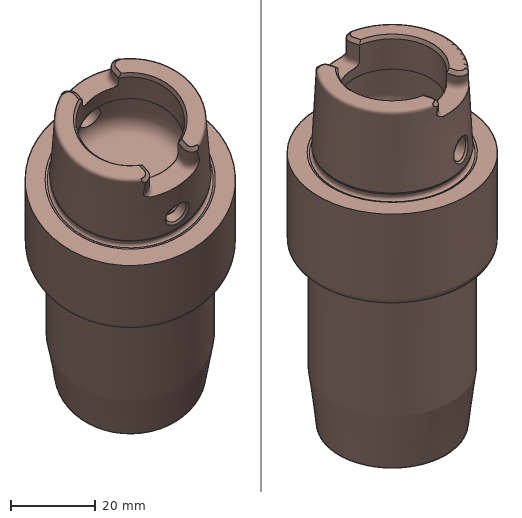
import cadquery as cq
import math

total_height = 104.9
shank_length = 25.0
flange_face_z = total_height - shank_length

nose_end_radius = 18.0
nose_height = 16.9
nose_edge_round = 0.6
body_radius = 20.0

flange_radius = 50.0 / 2
flange_side_length = 26.4
flange_cone_angle = math.radians(22)
flange_round = 2.2
neck_round = 0.7

shank_top_radius = 18.0
shank_base_radius = 19.2
rim_round = 0.9

relief_length = 2.0
relief_slope_height = 0.6
relief_radius = 18.9
relief_round = 0.8
relief_outer_radius = 20.2
relief_depth = 0.2

bore_radius = 12.9
bore_mouth_radius = 13.5
bore_mouth_depth = 0.9
bore_depth = 9.9
chamber_radius = 16.0
chamber_depth = 23.8
chamber_floor_round = 4.2

centre_radius = 2.1
centre_half_angle = math.radians(59)

slot_half_width = 5.3
slot_flare_x = 14.0
slot_flare_radius = 2.4
slot_flare_end = math.radians(20)
slot_floor_round = 1.6
slot_edge_chamfer = 0.9
shallow_slot_depth = 4.5
deep_slot_depth = 7.0

cross_hole_radius = 3.0
cross_hole_chamfer = 0.5
cross_hole_z = 87.3


def ring_at(z):
    """Selector for the circular edge whose centre lies on the axis at height z."""
    reach = 0.01
    return cq.selectors.BoxSelector((-reach, -reach, z - reach), (reach, reach, z + reach))


def make_outer_body():
    """Revolved nose, body, flange, relief groove and tapered shank."""
    cone_top_z = flange_face_z - flange_side_length
    neck_z = cone_top_z - (flange_radius - body_radius) * math.tan(flange_cone_angle)
    relief_top_z = flange_face_z + relief_length
    relief_floor_z = flange_face_z - relief_depth

    profile = (
        cq.Workplane("XZ")
        .lineTo(nose_end_radius, 0)
        .lineTo(body_radius, nose_height)
        .lineTo(body_radius, neck_z)
        .lineTo(flange_radius, cone_top_z)
        .lineTo(flange_radius, flange_face_z)
        .lineTo(relief_outer_radius, flange_face_z)
        .lineTo(relief_radius + relief_round, relief_floor_z)
        .radiusArc((relief_radius, relief_floor_z + relief_round), relief_round)
        .lineTo(relief_radius, relief_top_z - relief_slope_height)
        .lineTo(shank_base_radius, relief_top_z)
        .lineTo(shank_top_radius, total_height)
        .lineTo(0, total_height)
        .close()
    )
    body = profile.revolve(360, (0, 0, 0), (0, 1, 0))
    for z, size in (
        (0, nose_edge_round),
        (neck_z, neck_round),
        (cone_top_z, flange_round),
        (total_height, rim_round),
    ):
        body = body.edges(ring_at(z)).fillet(size)
    return body


def make_bore():
    """Revolved void: chamfered mouth, bore, wider chamber and centre mark."""
    return (
        cq.Workplane("XZ", origin=(0, 0, total_height))
        .lineTo(bore_mouth_radius, 0)
        .lineTo(bore_radius, -bore_mouth_depth)
        .lineTo(bore_radius, -bore_depth)
        .lineTo(chamber_radius, -bore_depth)
        .lineTo(chamber_radius, -chamber_depth + chamber_floor_round)
        .radiusArc((chamber_radius - chamber_floor_round, -chamber_depth), chamber_floor_round)
        .lineTo(centre_radius, -chamber_depth)
        .lineTo(0, -chamber_depth - centre_radius / math.tan(centre_half_angle))
        .close()
        .revolve(360, (0, 0, 0), (0, 1, 0))
    )


def slot_outline(widening, z):
    """Slot outline on the +X side at height z, grown outwards by widening."""
    inner_x = bore_radius / 2
    half_width = slot_half_width + widening
    flare_radius = slot_flare_radius - widening
    flare_y = slot_half_width + slot_flare_radius

    def flare_point(angle):
        x = slot_flare_x + flare_radius * math.cos(angle)
        y = flare_y + flare_radius * math.sin(angle)
        return x, y

    mid_x, mid_y = flare_point((slot_flare_end - math.pi / 2) / 2)
    end_x, end_y = flare_point(slot_flare_end)
    outer_x = end_x * flange_radius / shank_top_radius
    outer_y = end_y * flange_radius / shank_top_radius
    return (
        cq.Workplane("XY", origin=(0, 0, z))
        .moveTo(inner_x, -half_width)
        .lineTo(slot_flare_x, -half_width)
        .threePointArc((mid_x, -mid_y), (end_x, -end_y))
        .lineTo(outer_x, -outer_y)
        .lineTo(outer_x, outer_y)
        .lineTo(end_x, end_y)
        .threePointArc((mid_x, mid_y), (slot_flare_x, half_width))
        .lineTo(inner_x, half_width)
        .close()
    )


def make_slot(depth):
    """Slot void on the +X side with a rounded floor and chamfered top edges."""
    floor_z = total_height - depth
    slot = slot_outline(0, floor_z).extrude(depth)
    slot = slot.faces("<Z").edges("not #X").fillet(slot_floor_round)
    chamfer = cq.Solid.makeLoft(
        [
            slot_outline(0, total_height - slot_edge_chamfer).val(),
            slot_outline(slot_edge_chamfer, total_height).val(),
        ],
        True,
    )
    return slot.union(chamfer)


def make_cross_hole():
    """Void of the cross hole, through the whole shank."""
    hole = cq.Workplane("YZ", origin=(0, 0, cross_hole_z)).circle(cross_hole_radius)
    return hole.extrude(flange_radius, both=True)


def chamfer_cross_hole(body):
    """Chamfer both outer mouths of the cross hole."""
    bottom_z = cross_hole_z - cross_hole_radius
    top_z = cross_hole_z + cross_hole_radius
    for side in (-1, 1):
        mouth = cq.selectors.BoxSelector(
            (side * shank_top_radius, -cross_hole_radius, bottom_z),
            (side * flange_radius, cross_hole_radius, top_z),
        )
        body = body.edges(mouth).chamfer(cross_hole_chamfer)
    return body


result = make_outer_body()
for depth, turn in ((shallow_slot_depth, 180), (deep_slot_depth, 0)):
    slot = make_slot(depth).rotate((0, 0, 0), (0, 0, 1), turn)
    result = result.cut(slot)
result = result.cut(make_bore()).cut(make_cross_hole())
result = chamfer_cross_hole(result)